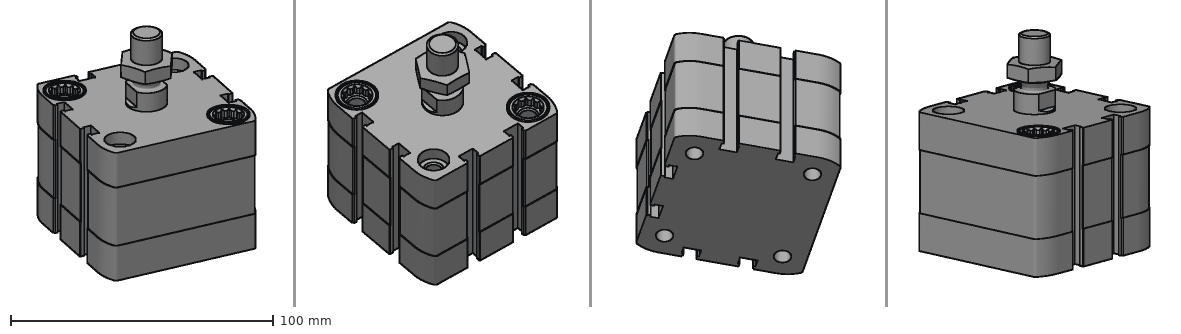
import cadquery as cq
import math


overall_height = 84.7
rod_projection = 30.0
housing_height = overall_height - rod_projection
housing_width = 65.5
half_width = housing_width / 2

cap_height = 14.9
barrel_height = housing_height - 2 * cap_height
barrel_inset = 0.25
hole_offset = 23.2
shoulder_radius = 17.4
corner_radius = 1.6

slot_offset = 11.0
slot_mouth_width = 5.3
slot_inside_width = 6.9
slot_inside_offset = 11.1
slot_depth = 5.0
slot_lip = 1.8
mouth_outer_radius = 0.6
mouth_inner_radius = 0.25
slotted_side_angles = (0, 180, 270)

through_diameter = 6.6
seat_chamfer = 0.7
counterbore_diameter = 12.0
counterbore_depth = 5.0

screw_recess_diameter = 16.0
screw_recess_chamfer = 0.21
screw_head_diameter = 15.5
screw_head_chamfer = 0.5
screw_groove_depth = 1.0
socket_diameter = 10.2
socket_point_diameter = 11.5
socket_mouth_diameter = 12.0
socket_depth = 4.1
socket_lead_depth = 1.1
socket_squares = 3

rod_diameter = 16.0
shoulder_height = 8.0
flats_width = 13.05
flats_start = 1.5
flats_runout_angle = 30.0
neck_diameter = 10.2
neck_fillet = 0.7
thread_diameter = 12.0
thread_cone_start = 9.6
thread_cone_end = 11.8
tip_diameter = 10.2
tip_chamfer_height = 0.6

nut_width = 19.0
nut_height = 5.9
nut_base_height = 13.0
nut_chamfer_diameter = 18.6
nut_chamfer_height = 0.3


def turned(points):
    """Solid of revolution about Z from (radius, height) points."""
    return cq.Workplane("XZ").polyline(points).close().revolve(360, (0, 0), (0, 1))


def block(height, inset):
    """Square block with large rounded shoulders at its corners, offset inward by the inset."""
    half = half_width - inset
    radius = shoulder_radius - inset
    reach = half - hole_offset

    def drop(distance):
        """Fall of the shoulder arc at a distance past the arc's start."""
        return radius - math.sqrt(radius**2 - distance**2)

    middle = (hole_offset + reach / 2, half - drop(reach / 2))
    end = (half, half - drop(reach))
    return (
        cq.Workplane("XY")
        .moveTo(-hole_offset, half)
        .lineTo(hole_offset, half)
        .threePointArc(middle, end)
        .lineTo(end[0], -end[1])
        .threePointArc((middle[0], -middle[1]), (hole_offset, -half))
        .lineTo(-hole_offset, -half)
        .threePointArc((-middle[0], -middle[1]), (-end[0], -end[1]))
        .lineTo(-end[0], end[1])
        .threePointArc((-middle[0], middle[1]), (-hole_offset, half))
        .close()
        .extrude(height)
        .edges("|Z and (>X or <X)")
        .fillet(corner_radius - inset)
    )


def slot_cutter(height, face):
    """T-slot in the -Y side, on the +X half, for a side face at the given distance from the axis."""
    mouth_inner = slot_offset - slot_mouth_width / 2
    mouth_outer = slot_offset + slot_mouth_width / 2
    inside_inner = slot_inside_offset - slot_inside_width / 2
    inside_outer = slot_inside_offset + slot_inside_width / 2
    lip = half_width - slot_lip
    floor = half_width - slot_depth
    return (
        cq.Workplane("XY")
        .moveTo(mouth_inner - mouth_inner_radius, -face)
        .radiusArc((mouth_inner, mouth_inner_radius - face), mouth_inner_radius)
        .lineTo(mouth_inner, -lip)
        .lineTo(inside_inner, -lip)
        .lineTo(inside_inner, -floor)
        .lineTo(inside_outer, -floor)
        .lineTo(inside_outer, -lip)
        .lineTo(mouth_outer, -lip)
        .lineTo(mouth_outer, mouth_outer_radius - face)
        .radiusArc((mouth_outer + mouth_outer_radius, -face), mouth_outer_radius)
        .close()
        .extrude(height)
    )


def housing_section(base, height, inset):
    """One length of the housing with its T-slots, standing at the given height."""
    section = block(height, inset)
    slot = slot_cutter(height, half_width - inset)
    slot_pair = slot.union(slot.mirror("YZ"))
    for angle in slotted_side_angles:
        section = section.cut(slot_pair.rotate((0, 0, 0), (0, 0, 1), angle))
    return section.translate((0, 0, base))


def through_hole(seat_depth):
    """Hole through the housing, chamfered where it leaves a seat at the given depth."""
    radius = through_diameter / 2
    seat = housing_height - seat_depth
    return turned([
        (0, 0),
        (radius, 0),
        (radius, seat - seat_chamfer),
        (radius + seat_chamfer, seat),
        (0, seat),
    ])


def counterbored_hole():
    """Through hole with a plain counterbore."""
    counterbore = (
        cq.Workplane("XY", origin=(0, 0, housing_height - counterbore_depth))
        .circle(counterbore_diameter / 2)
        .extrude(counterbore_depth)
    )
    return through_hole(counterbore_depth).union(counterbore)


def twelve_point_socket():
    """Socket of three turned squares around a round bore, with a conical lead-in."""
    floor = housing_height - socket_depth
    plane = cq.Workplane("XY", origin=(0, 0, floor))
    socket = plane.circle(socket_diameter / 2).extrude(socket_depth)
    square_side = socket_point_diameter / math.sqrt(2)
    first_square = plane.rect(square_side, square_side).extrude(socket_depth)
    for index in range(socket_squares):
        turn = 45 + index * 90 / socket_squares
        socket = socket.union(first_square.rotate((0, 0, 0), (0, 0, 1), turn))
    lead_in = turned([
        (0, housing_height - socket_lead_depth),
        (socket_diameter / 2, housing_height - socket_lead_depth),
        (socket_mouth_diameter / 2, housing_height),
        (0, housing_height),
    ])
    return socket.union(lead_in)


def screw_groove():
    """Ring groove between the chamfered screw head and its chamfered recess."""
    top = housing_height
    floor = top - screw_groove_depth
    head = screw_head_diameter / 2
    recess = screw_recess_diameter / 2
    return turned([
        (head, floor),
        (recess, floor),
        (recess, top - screw_recess_chamfer),
        (recess + screw_recess_chamfer, top),
        (head - screw_head_chamfer, top),
        (head, top - screw_head_chamfer),
    ])


def make_housing():
    housing = housing_section(0, cap_height, 0)
    housing = housing.union(housing_section(cap_height, barrel_height, barrel_inset))
    housing = housing.union(housing_section(cap_height + barrel_height, cap_height, 0))
    plain_hole = counterbored_hole()
    screw_hole = through_hole(socket_depth).union(twelve_point_socket())
    groove = screw_groove()
    for side in (-1, 1):
        plain_place = (side * hole_offset, -side * hole_offset, 0)
        screw_place = (side * hole_offset, side * hole_offset, 0)
        housing = housing.cut(plain_hole.translate(plain_place))
        housing = housing.cut(screw_hole.translate(screw_place))
        housing = housing.cut(groove.translate(screw_place))
    return housing


def wrench_flat():
    """Material outside the -Y wrench flat, with a sloping run-out at its lower end."""
    flat = flats_width / 2
    outside = rod_diameter
    runout_drop = (outside - flat) * math.tan(math.radians(flats_runout_angle))
    return (
        cq.Workplane("YZ")
        .polyline([
            (-flat, flats_start),
            (-flat, shoulder_height),
            (-outside, shoulder_height),
            (-outside, flats_start - runout_drop),
        ])
        .close()
        .extrude(rod_diameter / 2, both=True)
    )


def make_rod():
    """Piston rod standing on the housing: flatted shank, neck and threaded end."""
    neck = neck_diameter / 2
    thread = thread_diameter / 2
    rod = turned([
        (0, 0),
        (rod_diameter / 2, 0),
        (rod_diameter / 2, shoulder_height),
        (neck, shoulder_height),
        (neck, thread_cone_start),
        (thread, thread_cone_end),
        (thread, rod_projection - tip_chamfer_height),
        (tip_diameter / 2, rod_projection),
        (0, rod_projection),
    ])
    neck_ends = cq.selectors.BoxSelector(
        (-neck - neck_fillet, -neck - neck_fillet, shoulder_height - neck_fillet),
        (neck + neck_fillet, neck + neck_fillet, thread_cone_start + neck_fillet),
        boundingbox=True,
    )
    rod = rod.edges(neck_ends).edges("%CIRCLE").fillet(neck_fillet)
    flat = wrench_flat()
    rod = rod.cut(flat).cut(flat.mirror("XZ"))
    return rod.translate((0, 0, housing_height))


def make_nut():
    """Hexagon nut with flats facing X, its corners chamfered at both ends."""
    corner = nut_width / math.sqrt(3)
    rim = nut_chamfer_diameter / 2
    hexagon = (
        cq.Workplane("XY")
        .polygon(6, 2 * corner)
        .extrude(nut_height)
        .rotate((0, 0, 0), (0, 0, 1), 30)
    )
    envelope = turned([
        (0, 0),
        (rim, 0),
        (corner, nut_chamfer_height),
        (corner, nut_height - nut_chamfer_height),
        (rim, nut_height),
        (0, nut_height),
    ])
    bore = cq.Workplane("XY").circle(thread_diameter / 2).extrude(nut_height)
    nut = hexagon.intersect(envelope).cut(bore)
    return nut.translate((0, 0, housing_height + nut_base_height))


housing = make_housing()
rod = make_rod()
nut = make_nut()
result = cq.Compound.makeCompound([housing.val(), rod.val(), nut.val()])